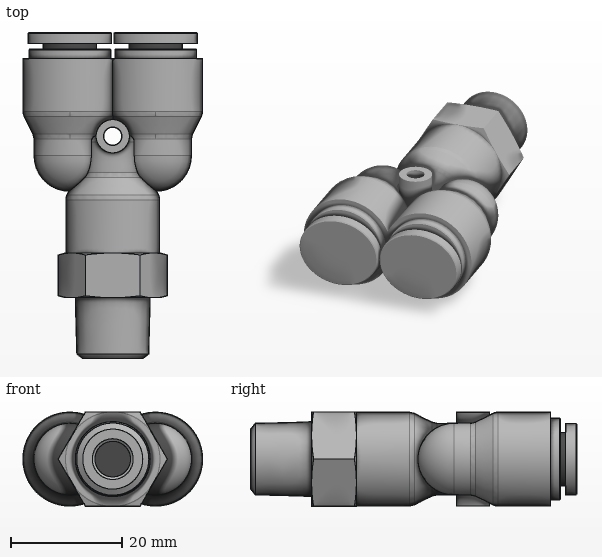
import cadquery as cq
import math


thread_length = 10.95
thread_root_diameter = 13.5
thread_tip_diameter = 12.95
tip_chamfer_length = 0.9
tip_face_diameter = 10.8
bore_diameter = 6.4
bore_chamfer = 0.45
hex_across_flats = 17.0
hex_length = 8.0
hex_chamfer_angle = 15.0

barrel_diameter = 16.9
neck_diameter = 12.9
overall_width = 32.3
stem_barrel_length = 10.0
stem_neck_length = 7.1
stem_end_radius = 1.2
cone_length = 4.0
blend_radius = 2.0
branch_dome_base = 36.5
branch_neck_length = 3.45

boss_diameter = 6.0
boss_hole_diameter = 3.2

collar_diameter = 14.7
overall_length = 58.6
flange_length = 2.0
button_neck_length = 0.95
collar_length = 1.75
button_neck_diameter = 9.6
flange_width = 15.0
flange_height = 12.85
edge_chamfer = 0.2

seam_angle = -90

selection_margin = 0.05

barrel_radius = barrel_diameter / 2
neck_radius = neck_diameter / 2
branch_offset = overall_width / 2 - barrel_radius
hex_end = thread_length + hex_length
stem_cone_start = hex_end + stem_barrel_length
stem_cone_end = stem_cone_start + cone_length
stem_neck_end = stem_cone_end + stem_neck_length
branch_dome_tip = branch_dome_base - neck_radius
branch_cone_start = branch_dome_base + branch_neck_length
branch_cone_end = branch_cone_start + cone_length
flange_start = overall_length - flange_length
collar_end = flange_start - button_neck_length
socket_end = collar_end - collar_length


def plane_at(y, x=0):
    """Plane across the Y axis with its normal toward +Y."""
    return cq.Plane(origin=(x, y, 0), xDir=(1, 0, 0), normal=(0, 1, 0))


def cylinder_y(diameter, start, end, x=0):
    return cq.Workplane(plane_at(start, x)).circle(diameter / 2).extrude(end - start)


def revolve_y(profile):
    """Revolve a closed (radius, Y) profile about the Y axis."""
    return profile.close().revolve(360, (0, 0, 0), (0, 1, 0))


def make_tube(barrel_end, cone_barrel_side, cone_neck_side, neck_end, end_radius):
    """Barrel, blended cone and thinner neck on the Y axis; the neck end is rounded over."""
    end_direction = math.copysign(1, neck_end - barrel_end)
    arc_centre_radius = neck_radius - end_radius
    arc_centre_y = neck_end - end_direction * end_radius
    arc_reach = end_radius * math.sqrt(0.5)
    profile = (
        cq.Workplane("XY")
        .moveTo(0, barrel_end)
        .lineTo(barrel_radius, barrel_end)
        .lineTo(barrel_radius, cone_barrel_side)
        .lineTo(neck_radius, cone_neck_side)
        .lineTo(neck_radius, arc_centre_y)
        .threePointArc(
            (arc_centre_radius + arc_reach, arc_centre_y + end_direction * arc_reach),
            (arc_centre_radius, neck_end),
        )
    )
    if arc_centre_radius > 0:
        profile = profile.lineTo(0, neck_end)
    cone_first = min(cone_barrel_side, cone_neck_side)
    cone_last = max(cone_barrel_side, cone_neck_side)
    cone_ends = cq.selectors.BoxSelector(
        (-barrel_diameter, cone_first - selection_margin, -barrel_diameter),
        (barrel_diameter, cone_last + selection_margin, barrel_diameter),
        boundingbox=True,
    )
    return revolve_y(profile).edges("%CIRCLE").edges(cone_ends).fillet(blend_radius)


def make_housing():
    stem = make_tube(hex_end, stem_cone_start, stem_cone_end, stem_neck_end, stem_end_radius)

    boss_plane = cq.Workplane("XY", origin=(0, branch_cone_start, 0))
    boss = boss_plane.circle(boss_diameter / 2).extrude(barrel_radius, both=True)
    hole = boss_plane.circle(boss_hole_diameter / 2).extrude(barrel_diameter, both=True)
    housing = stem.union(boss)

    branch = make_tube(socket_end, branch_cone_end, branch_cone_start, branch_dome_tip, neck_radius)
    branch = branch.rotate((0, 0, 0), (0, 1, 0), seam_angle)
    for side in (-1, 1):
        housing = housing.union(branch.translate((side * branch_offset, 0, 0)))
    return housing.cut(hole)


def make_hex():
    """Hexagon with its flats at top and bottom and both ends chamfered."""
    corner_diameter = hex_across_flats / math.cos(math.radians(30))
    prism = (
        cq.Workplane(plane_at(thread_length))
        .polygon(6, corner_diameter)
        .extrude(hex_length)
    )
    face_radius = hex_across_flats / 2
    corner_radius = corner_diameter / 2
    chamfer_length = (corner_radius - face_radius) * math.tan(math.radians(hex_chamfer_angle))
    envelope = revolve_y(
        cq.Workplane("XY")
        .moveTo(0, thread_length)
        .lineTo(face_radius, thread_length)
        .lineTo(corner_radius, thread_length + chamfer_length)
        .lineTo(corner_radius, hex_end - chamfer_length)
        .lineTo(face_radius, hex_end)
        .lineTo(0, hex_end)
    )
    return prism.intersect(envelope)


def make_adapter():
    thread = revolve_y(
        cq.Workplane("XY")
        .lineTo(tip_face_diameter / 2, 0)
        .lineTo(thread_tip_diameter / 2, tip_chamfer_length)
        .lineTo(thread_root_diameter / 2, thread_length)
        .lineTo(0, thread_length)
    )
    bore = cylinder_y(bore_diameter, 0, hex_end)
    adapter = thread.union(make_hex()).cut(bore)
    bore_rim = cq.selectors.RadiusNthSelector(0)
    return adapter.faces("<Y").edges(bore_rim).chamfer(bore_chamfer)


def make_collar(x):
    collar = cylinder_y(collar_diameter, socket_end, collar_end, x)
    return collar.faces(">Y").chamfer(edge_chamfer)


def make_button(x):
    """Release button: a round neck that carries an oval flange."""
    flange = (
        cq.Workplane(plane_at(flange_start, x))
        .ellipse(flange_width / 2, flange_height / 2)
        .extrude(flange_length)
        .faces(">Y")
        .chamfer(edge_chamfer)
    )
    return flange.union(cylinder_y(button_neck_diameter, collar_end, flange_start, x))


housing = make_housing()
adapter = make_adapter()
collars = []
buttons = []
for side in (-1, 1):
    collars.append(make_collar(side * branch_offset).solids().val())
    buttons.append(make_button(side * branch_offset).solids().val())

result = cq.Compound.makeCompound(
    [housing.solids().val(), adapter.solids().val(), *collars, *buttons]
)